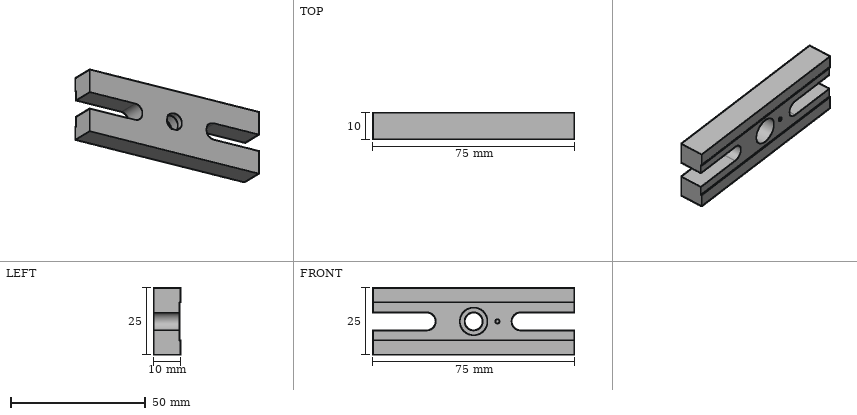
import cadquery as cq

length = 75.0
thickness = 10.0
height = 25.0

channel_height = 14.2
channel_depth = 0.4

clearance = 6.6
slot_length = 23.3

counterbore_diameter = 10.3
counterbore_depth = 6.9

dimple_diameter = 1.6
dimple_offset = 8.85
dimple_depth = 0.2

front_y = -thickness / 2
floor_y = front_y + channel_depth


def drill(diameter, depth, x=0):
    """Round cutter entering the channel floor and running toward +Y."""
    return (
        cq.Workplane("XZ", origin=(x, floor_y, 0))
        .circle(diameter / 2)
        .extrude(-depth)
    )


def end_slot(side):
    """Through slot open at one end of the bar, side = -1 or +1 along X."""
    radius = clearance / 2
    mouth_x = side * length / 2
    arc_x = side * (length / 2 - slot_length + radius)
    tip_x = arc_x - side * radius
    return (
        cq.Workplane("XZ")
        .moveTo(mouth_x, radius)
        .lineTo(arc_x, radius)
        .threePointArc((tip_x, 0), (arc_x, -radius))
        .lineTo(mouth_x, -radius)
        .close()
        .extrude(thickness / 2, both=True)
    )


bar = cq.Workplane("XY").box(length, thickness, height)

channel = cq.Workplane("XY").box(length, channel_depth, channel_height)
channel = channel.translate((0, front_y + channel_depth / 2, 0))
bar = bar.cut(channel)

for side in (-1, 1):
    bar = bar.cut(end_slot(side))

bar = bar.cut(drill(clearance, thickness - channel_depth))
bar = bar.cut(drill(counterbore_diameter, counterbore_depth))
bar = bar.cut(drill(dimple_diameter, dimple_depth, dimple_offset))

result = bar